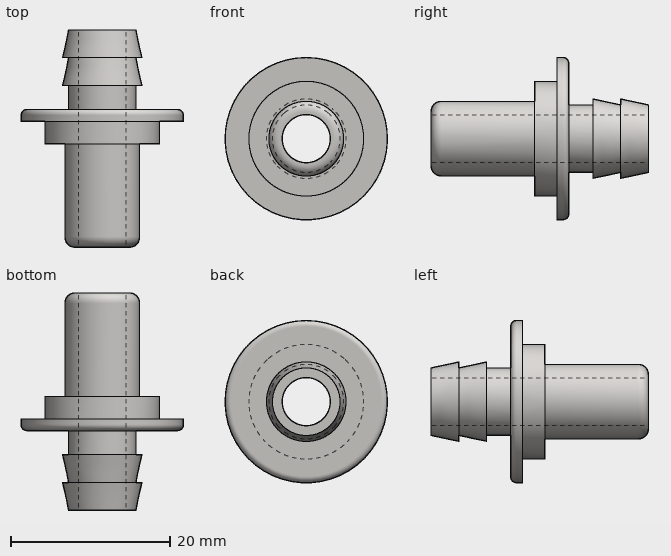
import cadquery as cq

spigot_length = 13.0
hub_length = 2.8
flange_thickness = 1.5
neck_length = 3.0
barb_length = 3.5
barb_count = 2

spigot_diameter = 9.4
hub_diameter = 14.41
flange_diameter = 20.4
neck_diameter = 8.5
barb_diameter = 10.0
bore_diameter = 6.0

spigot_end_radius = 1.28
flange_edge_radius = 0.75

hub_start = spigot_length
flange_start = hub_start + hub_length
neck_start = flange_start + flange_thickness
barbs_start = neck_start + neck_length
total_length = barbs_start + barb_count * barb_length


def cylinder(diameter, start, length):
    """Solid cylinder on the Y axis, running toward +Y from the given station."""
    axis = cq.Vector(0, 1, 0)
    return cq.Workplane(cq.Solid.makeCylinder(diameter / 2, length, cq.Vector(0, start, 0), axis))


def barb(start):
    """Cone that is widest at its start and narrows to the neck diameter toward +Y."""
    base = cq.Vector(0, start, 0)
    axis = cq.Vector(0, 1, 0)
    return cq.Workplane(
        cq.Solid.makeCone(barb_diameter / 2, neck_diameter / 2, barb_length, base, axis)
    )


spigot = cylinder(spigot_diameter, 0, spigot_length)
spigot = spigot.faces("<Y").edges().fillet(spigot_end_radius)

flange = cylinder(flange_diameter, flange_start, flange_thickness)
flange = flange.faces(">Y").edges().fillet(flange_edge_radius)

hub = cylinder(hub_diameter, hub_start, hub_length)
neck = cylinder(neck_diameter, neck_start, neck_length)

body = spigot.union(hub).union(flange).union(neck)
for index in range(barb_count):
    body = body.union(barb(barbs_start + index * barb_length))

result = body.cut(cylinder(bore_diameter, 0, total_length))